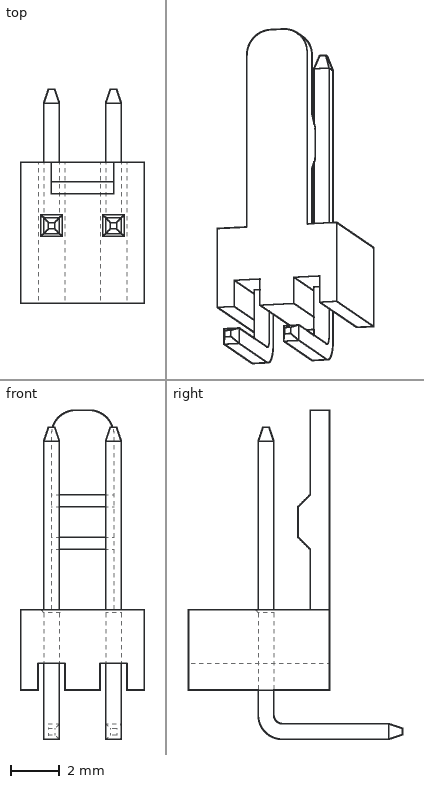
import cadquery as cq


housing_width = 5.08
housing_depth = 5.8
housing_height = 3.3

slot_width = 1.1
slot_height = 1.1

latch_width = 2.57
latch_thickness = 0.8
latch_height = 8.19
latch_corner_radius = 1.01

ridge_projection = 0.5
ridge_base_bottom = 2.47
ridge_base_top = 4.72

pin_count = 2
pin_pitch = housing_width / pin_count
pin_size = 0.65
pin_y = -2.61
pin_rise = 7.49
pin_drop = 2.03
pin_reach = 3.0
tip_length = 0.58
tip_size = 0.26
bend_outer_radius = 1.0

lead_in_size = 0.88
lead_in_depth = (lead_in_size - pin_size) / 2

pin_positions = [(i - (pin_count - 1) / 2) * pin_pitch for i in range(pin_count)]


def make_block():
    """Rectangular housing body with its slots cut through front to back."""
    block = cq.Workplane("XY").box(
        housing_width, housing_depth, housing_height, centered=(True, False, False)
    ).translate((0, -housing_depth, 0))
    for x in pin_positions:
        slot = cq.Workplane("XY").box(
            slot_width, housing_depth, slot_height, centered=(True, False, False)
        ).translate((x, -housing_depth, 0))
        block = block.cut(slot)
    return block


def make_latch():
    """Round-cornered tongue with a trapezoidal locking ridge."""
    tongue = (
        cq.Workplane("XY", origin=(0, -latch_thickness / 2, housing_height))
        .box(latch_width, latch_thickness, latch_height, centered=(True, True, False))
        .edges("|Y and >Z")
        .fillet(latch_corner_radius)
    )
    front = -latch_thickness
    crest = front - ridge_projection
    ridge = (
        cq.Workplane("YZ", origin=(0, 0, housing_height))
        .moveTo(front, ridge_base_bottom)
        .lineTo(crest, ridge_base_bottom + ridge_projection)
        .lineTo(crest, ridge_base_top - ridge_projection)
        .lineTo(front, ridge_base_top)
        .close()
        .extrude(latch_width / 2, both=True)
    )
    return tongue.union(ridge)


def make_pin_hole(x):
    """Square passage that fits a pin, flared at the housing top."""
    passage = cq.Workplane("XY", origin=(x, pin_y, 0)).rect(pin_size, pin_size).extrude(housing_height)
    flare = (
        cq.Workplane("XY", origin=(x, pin_y, housing_height))
        .rect(lead_in_size, lead_in_size)
        .workplane(offset=-lead_in_depth)
        .rect(pin_size, pin_size)
        .loft()
    )
    return passage.union(flare)


def make_housing():
    housing = make_block().union(make_latch())
    for x in pin_positions:
        housing = housing.cut(make_pin_hole(x))
    return housing


def make_tip(base_plane):
    """Square tapered pin end, growing along the normal of its base plane."""
    return (
        cq.Workplane(base_plane)
        .rect(pin_size, pin_size)
        .workplane(offset=tip_length)
        .rect(tip_size, tip_size)
        .loft()
    )


def make_pin(x):
    """Upright leg, rounded bend and rearward leg, tapered at both ends."""
    leg_top = housing_height + pin_rise - tip_length
    leg_end = pin_reach - tip_length
    tail_z = -pin_drop + pin_size / 2
    bend_radius = bend_outer_radius - pin_size / 2
    path = (
        cq.Workplane("YZ", origin=(x, 0, 0))
        .moveTo(pin_y, leg_top)
        .lineTo(pin_y, tail_z + bend_radius)
        .radiusArc((pin_y + bend_radius, tail_z), -bend_radius)
        .lineTo(leg_end, tail_z)
    )
    shaft = (
        cq.Workplane("XY", origin=(x, pin_y, leg_top))
        .rect(pin_size, pin_size)
        .sweep(path)
    )
    top_tip = make_tip(cq.Plane(origin=(x, pin_y, leg_top), xDir=(1, 0, 0), normal=(0, 0, 1)))
    tail_tip = make_tip(cq.Plane(origin=(x, leg_end, tail_z), xDir=(1, 0, 0), normal=(0, 1, 0)))
    return shaft.union(top_tip).union(tail_tip)


housing = make_housing()
pins = [make_pin(x) for x in pin_positions]

result = cq.Compound.makeCompound([housing.solids().val(), *[pin.solids().val() for pin in pins]])